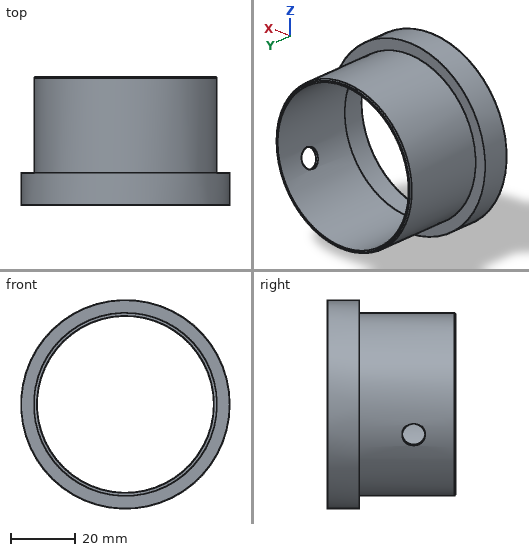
import cadquery as cq

flange_diameter = 65.0
sleeve_diameter = 57.0
bore_diameter = 55.0
total_length = 40.0
flange_thickness = 10.0
end_chamfer = 0.45

counterbore_diameter = sleeve_diameter
counterbore_depth = 9.0

side_hole_diameter = 7.15
side_hole_y = 6.9
side_hole_angle = 19.5

flange_face_y = -total_length / 2


def cylinder_from_flange(diameter, length):
    """Cylinder along +Y that starts at the flange face."""
    plane = cq.Workplane("XZ", origin=(0, flange_face_y, 0))
    return plane.circle(diameter / 2).extrude(-length)


def make_body():
    """Flanged sleeve with a chamfered outer edge at its plain end."""
    sleeve = cylinder_from_flange(sleeve_diameter, total_length)
    sleeve = sleeve.faces(">Y").chamfer(end_chamfer)
    return sleeve.union(cylinder_from_flange(flange_diameter, flange_thickness))


def make_bore():
    """Through bore, widened inside the flange."""
    bore = cylinder_from_flange(bore_diameter, total_length)
    return bore.union(cylinder_from_flange(counterbore_diameter, counterbore_depth))


def make_side_hole():
    """Radial cutter that passes through only the +X wall."""
    plane = cq.Workplane("YZ", origin=(0, side_hole_y, 0))
    cutter = plane.circle(side_hole_diameter / 2).extrude(sleeve_diameter)
    return cutter.rotate((0, 0, 0), (0, 1, 0), side_hole_angle)


result = make_body().cut(make_bore()).cut(make_side_hole())